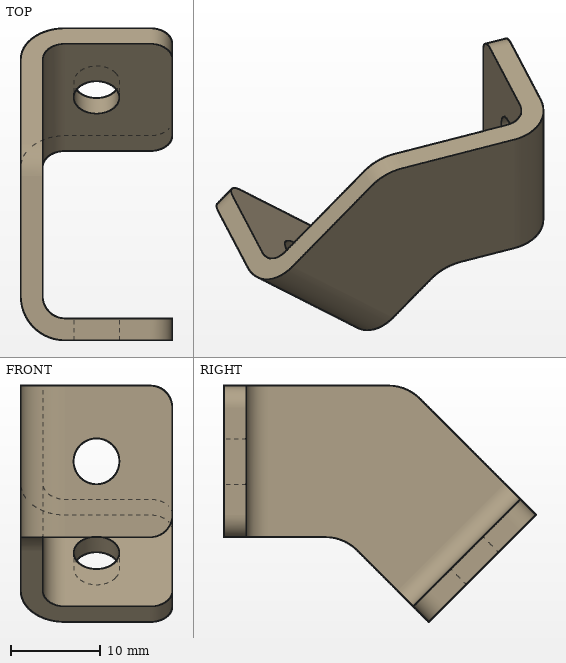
import cadquery as cq
import math

width = 17.0
thickness = 2.5
bend_radius = 2 * thickness
corner_radius = thickness
knee_radius = 5.0
hole_diameter = 5.1
knee_angle = 45
overall_length = 35

arm_length = overall_length / (1 + math.cos(math.radians(knee_angle)))

lower_arm_length = arm_length - width * math.tan(math.radians(knee_angle / 2))


def droop(body):
    """Swing a body that continues straight along +Y down about the upper knee corner."""
    return body.rotate((0, arm_length, 0), (1, arm_length, 0), -knee_angle)


def droop_point(y, z):
    """Swing a point of the YZ plane in the same way."""
    angle = math.radians(knee_angle)
    reach = y - arm_length
    return (
        arm_length + reach * math.cos(angle) + z * math.sin(angle),
        z * math.cos(angle) - reach * math.sin(angle),
    )


def make_web():
    """Flat kneed plate between the two folds."""
    far_end = 2 * arm_length - bend_radius
    outline = [
        (bend_radius, 0),
        (arm_length, 0),
        droop_point(far_end, 0),
        droop_point(far_end, -width),
        (lower_arm_length, -width),
        (bend_radius, -width),
    ]
    plate = cq.Workplane("YZ").polyline(outline).close().extrude(thickness)
    knee_corners = [(0, arm_length, 0), (0, lower_arm_length, -width)]
    for corner in knee_corners:
        plate = plate.edges("|X").edges(cq.selectors.NearestToPointSelector(corner)).fillet(knee_radius)
    return plate


def make_flange():
    """Fold and flange at the -Y end, with rounded free corners and a central hole."""
    profile = (
        cq.Workplane("XY")
        .moveTo(0, bend_radius)
        .radiusArc((bend_radius, 0), -bend_radius)
        .lineTo(width, 0)
        .lineTo(width, thickness)
        .lineTo(bend_radius, thickness)
        .radiusArc((thickness, bend_radius), bend_radius - thickness)
        .close()
    )
    flange = profile.extrude(-width).edges("|Y and >X").fillet(corner_radius)
    hole = (
        cq.Workplane("XZ")
        .center(width / 2, -width / 2)
        .circle(hole_diameter / 2)
        .extrude(-thickness)
    )
    return flange.cut(hole)


near_flange = make_flange()
far_flange = droop(near_flange.mirror("XZ").translate((0, 2 * arm_length, 0)))

result = make_web().union(near_flange).union(far_flange)